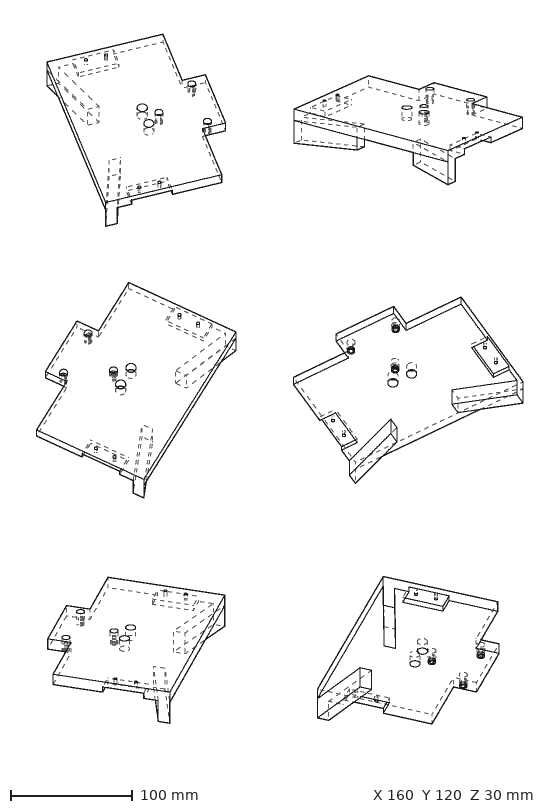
import cadquery as cq

plate_width = 160.0
plate_depth = 100.0
plate_thickness = plate_depth / 10
tab_width = 55.0
tab_depth = 20.0

leg_height = 20.0
leg_depth = 10.0
leg_span = 50.9
leg_sweep = 19.0

pocket_length = 35.0
pocket_center_y = 40.0
pocket_height = 5.0
pocket_reach = 15.0

pin_hole_diameter = 2.5
pin_hole_x = 72.5
pin_hole_spacing = 17.5

large_hole_diameter = 8.3
large_hole_x = 9.0
large_hole_y = 59.7

screw_points = [(-21.3, 106.2), (21.3, 106.2), (0, 71.2)]
screw_hole_diameter = 3.7
counterbore_diameter = 6.5
counterbore_depth = 6.4
boss_diameter = 6.0
boss_height = plate_thickness / 5


def cylinders(points, diameter, bottom, height):
    """Vertical cylinders of one diameter standing at the given points."""
    return cq.Workplane("XY", origin=(0, 0, bottom)).pushPoints(points).circle(diameter / 2).extrude(height)


def make_plate():
    plate = cq.Workplane("XY").box(plate_width, plate_depth, plate_thickness, centered=(True, False, False))
    tab = cq.Workplane("XY").box(
        tab_width, plate_depth + tab_depth, plate_thickness, centered=(True, False, False)
    )
    return plate.union(tab)


def make_leg(side):
    """Leg swept back in plan from a front corner; side is -1 or 1."""
    outer_x = side * plate_width / 2
    inner_x = side * (plate_width / 2 - leg_span)
    outline = [
        (outer_x, 0),
        (inner_x, leg_sweep),
        (inner_x, leg_sweep + leg_depth),
        (outer_x, leg_depth),
    ]
    return cq.Workplane("XY").polyline(outline).close().extrude(-leg_height)


def make_pocket(side):
    center_x = side * (plate_width - pocket_reach) / 2
    return (
        cq.Workplane("XY")
        .center(center_x, pocket_center_y)
        .rect(pocket_reach, pocket_length)
        .extrude(pocket_height)
    )


body = make_plate()
for side in (-1, 1):
    body = body.union(make_leg(side)).cut(make_pocket(side))

body = body.union(cylinders(screw_points, boss_diameter, -boss_height, boss_height))

body = body.cut(cylinders(screw_points, screw_hole_diameter, -boss_height, plate_thickness + boss_height))
body = body.cut(
    cylinders(screw_points, counterbore_diameter, plate_thickness - counterbore_depth, counterbore_depth)
)

pin_points = [
    (side * pin_hole_x, pocket_center_y + end * pin_hole_spacing / 2)
    for side in (-1, 1)
    for end in (-1, 1)
]
body = body.cut(cylinders(pin_points, pin_hole_diameter, 0, plate_thickness))

large_points = [(side * large_hole_x, large_hole_y) for side in (-1, 1)]
body = body.cut(cylinders(large_points, large_hole_diameter, 0, plate_thickness))

result = body